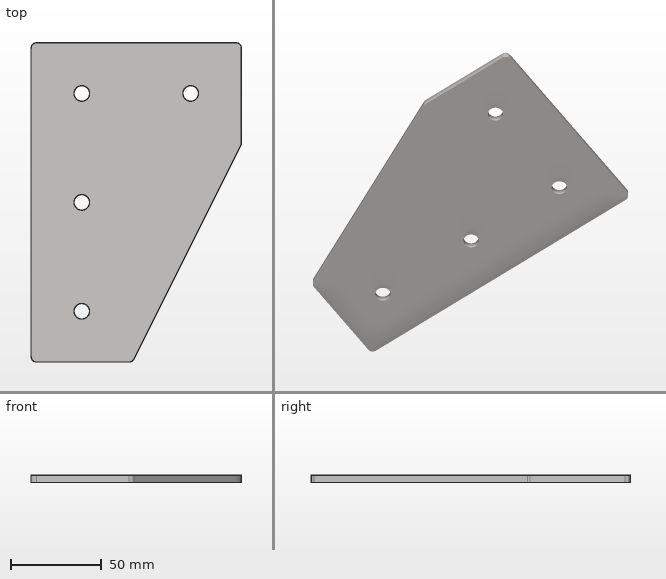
import cadquery as cq

length = 176.0
thickness = 4.0
hole_pitch = 60.0
hole_diameter = 8.5
corner_radius = 3.0

edge_margin = (length - 2 * hole_pitch) / 2
leg_width = 2 * edge_margin
width = leg_width + hole_pitch

outline = [
    (0, 0),
    (leg_width, 0),
    (width, length - leg_width),
    (width, length),
    (0, length),
]
plate = cq.Workplane("XY").polyline(outline).close().extrude(thickness)
plate = plate.edges("|Z").fillet(corner_radius)

long_leg_holes = [(edge_margin, edge_margin + row * hole_pitch) for row in range(3)]
short_leg_hole = (width - edge_margin, length - edge_margin)
hole_cutter = (
    cq.Workplane("XY")
    .pushPoints(long_leg_holes + [short_leg_hole])
    .circle(hole_diameter / 2)
    .extrude(thickness)
)

result = plate.cut(hole_cutter)